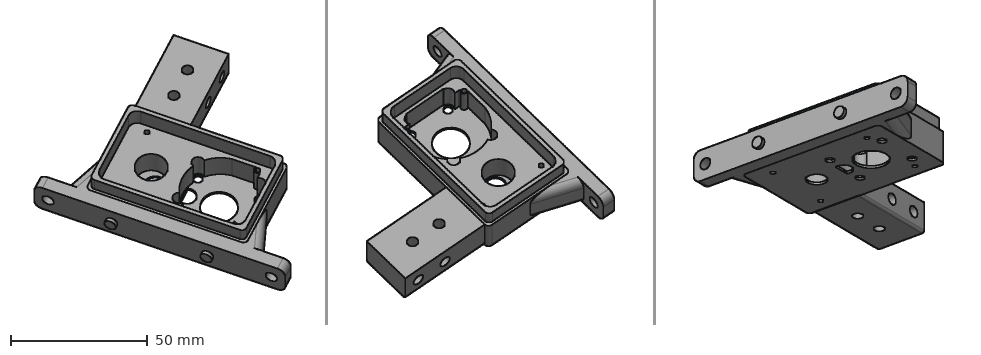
import cadquery as cq


body_height = 12.8
total_height = 18.4
cut_margin = 1.0

flange_length = 99.9
flange_thickness = 5.3
flange_corner_radius = 3.2
flange_hole_diameter = 4.6
flange_hole_spacing = 88.9
boss_diameter = 4.6
boss_spacing = 38.2
boss_length = 1.5
rib_base_width = 77.5
rib_top_y = 25.0

housing_length = 63.7
housing_depth = 39.2
housing_front_y = 5.9
housing_corner_radius = 1.8
housing_center_y = housing_front_y + housing_depth / 2
housing_back_y = housing_front_y + housing_depth
rim_step = 1.1
rim_corner_radius = 1.8
rim_wall = 1.7
cavity_corner_radius = 3.5
cavity_floor_z = 11.1
pocket_floor_z = 1.0

shaft_offset = 12.7
motor_hole_diameter = 13.9
motor_screw_diameter = 3.5
motor_screw_clearance = 4.8
motor_screw_spacing_x = 24.3
motor_screw_spacing_y = 17.7
shaft_hole_diameter = 8.2
bearing_diameter = 12.2
bearing_x = -14.3
middle_hole_diameter = 7.0
middle_hole_flat_x = -1.2
lid_screw_diameter = 2.0
lid_screw_boss_diameter = 2.7
lid_screw_spacing_x = 43.9
lid_screw_spacing_y = 28.2

pocket_half_width = 15.1
pocket_left_x = -1.9
pocket_arc_end_x = 11.3
pocket_right_x = 27.6
pocket_shoulder_x = 23.4
pocket_corner_radius = 2.6

arm_width = 22.0
arm_center_x = -19.1
arm_end_y = 83.1
arm_bottom_z = 0.3
arm_edge_radius = 1.0
arm_vertical_hole_diameter = 4.2
arm_cross_hole_diameter = 4.5
arm_hole_spacing = 12.7
arm_vertical_hole_y = 57.7
arm_cross_hole_y = 64.1


def upright_box(length, depth, bottom_z, top_z, corner_radius):
    """Block on the housing's centre with rounded vertical edges."""
    return (
        cq.Workplane("XY", origin=(0, housing_center_y, bottom_z))
        .rect(length, depth)
        .extrude(top_z - bottom_z)
        .edges("|Z")
        .fillet(corner_radius)
    )


def upright_cylinders(points, diameter, bottom_z, top_z):
    """Vertical cylinders at the given (x, y) points."""
    return (
        cq.Workplane("XY", origin=(0, 0, bottom_z))
        .pushPoints(points)
        .circle(diameter / 2)
        .extrude(top_z - bottom_z)
    )


def corner_points(center_x, spacing_x, spacing_y):
    """Four (x, y) points around a centre on the housing's middle line."""
    return [
        (center_x + side_x * spacing_x / 2, housing_center_y + side_y * spacing_y / 2)
        for side_x in (-1, 1)
        for side_y in (-1, 1)
    ]


def make_housing_blank():
    """Outer shape of the housing: a block and a narrower rim on top."""
    block = upright_box(housing_length, housing_depth, 0, body_height, housing_corner_radius)
    rim = upright_box(
        housing_length - 2 * rim_step,
        housing_depth - 2 * rim_step,
        0,
        total_height,
        rim_corner_radius,
    )
    return block.union(rim)


def make_motor_pocket(motor_screws, lid_screws):
    """Cutter for a round-ended pocket with rounded corners, cleared around the motor screws."""
    arc_end = (pocket_arc_end_x, pocket_half_width)
    shoulder_y = motor_screw_spacing_y / 2
    corner_x = pocket_shoulder_x - pocket_corner_radius
    corner_y = pocket_half_width - pocket_corner_radius
    pocket_height = cavity_floor_z - pocket_floor_z + cut_margin
    outline = (
        cq.Workplane("XY", origin=(0, housing_center_y, pocket_floor_z))
        .moveTo(*arc_end)
        .lineTo(corner_x, pocket_half_width)
        .tangentArcPoint((pocket_shoulder_x, corner_y), relative=False)
        .lineTo(pocket_shoulder_x, shoulder_y)
        .lineTo(pocket_right_x, shoulder_y)
        .lineTo(pocket_right_x, -shoulder_y)
        .lineTo(pocket_shoulder_x, -shoulder_y)
        .lineTo(pocket_shoulder_x, -corner_y)
        .tangentArcPoint((corner_x, -pocket_half_width), relative=False)
        .lineTo(pocket_arc_end_x, -pocket_half_width)
        .threePointArc((pocket_left_x, 0), arc_end)
        .close()
        .extrude(pocket_height)
    )
    pocket_top_z = pocket_floor_z + pocket_height
    clearances = upright_cylinders(motor_screws, motor_screw_clearance, pocket_floor_z, pocket_top_z)
    screw_bosses = upright_cylinders(lid_screws, lid_screw_boss_diameter, pocket_floor_z, pocket_top_z)
    return outline.union(clearances).cut(screw_bosses)


def make_middle_hole():
    """Cutter for a through hole in the pocket floor with a flat on its -X side."""
    hole = upright_cylinders([(0, housing_center_y)], middle_hole_diameter, -cut_margin, cavity_floor_z)
    flat_side = (
        cq.Workplane("XY", origin=(middle_hole_flat_x, housing_center_y, -cut_margin))
        .rect(middle_hole_diameter, middle_hole_diameter)
        .extrude(cavity_floor_z + cut_margin)
        .translate((-middle_hole_diameter / 2, 0, 0))
    )
    return hole.cut(flat_side)


def make_housing():
    """Open gearbox housing with a motor pocket and a bearing seat."""
    motor_screws = corner_points(shaft_offset, motor_screw_spacing_x, motor_screw_spacing_y)
    lid_screws = corner_points(0, lid_screw_spacing_x, lid_screw_spacing_y)
    cavity_inset = 2 * (rim_step + rim_wall)
    cavity = upright_box(
        housing_length - cavity_inset,
        housing_depth - cavity_inset,
        cavity_floor_z,
        total_height + cut_margin,
        cavity_corner_radius,
    )
    bearing_seat = upright_cylinders(
        [(bearing_x, housing_center_y)], bearing_diameter, pocket_floor_z, total_height
    )
    housing = (
        make_housing_blank()
        .cut(cavity)
        .cut(make_motor_pocket(motor_screws, lid_screws))
        .cut(bearing_seat)
        .cut(make_middle_hole())
    )
    through_holes = [
        (motor_hole_diameter, [(shaft_offset, housing_center_y)]),
        (shaft_hole_diameter, [(-shaft_offset, housing_center_y)]),
        (motor_screw_diameter, motor_screws),
        (lid_screw_diameter, lid_screws),
    ]
    for diameter, points in through_holes:
        housing = housing.cut(upright_cylinders(points, diameter, -cut_margin, total_height))
    return housing


def make_flange_plate():
    """Upright mounting plate with rounded ends."""
    return (
        cq.Workplane("XZ", origin=(0, 0, body_height / 2))
        .rect(flange_length, body_height)
        .extrude(-flange_thickness)
        .edges("|Y")
        .fillet(flange_corner_radius)
    )


def make_ribs():
    """Tapered web behind the plate whose slanted sides have rounded edges."""
    half_base = rib_base_width / 2
    half_top = housing_length / 2
    return (
        cq.Workplane("XY")
        .moveTo(-half_base, flange_thickness)
        .lineTo(half_base, flange_thickness)
        .lineTo(half_top, rib_top_y)
        .lineTo(-half_top, rib_top_y)
        .close()
        .extrude(body_height)
        .faces("<X or >X")
        .edges("not(|Z or |X)")
        .fillet(flange_corner_radius)
    )


def make_flange():
    """Plate, ribs and locating bosses, shaped around the housing."""
    bosses = (
        cq.Workplane("XZ", origin=(0, 0, body_height / 2))
        .rarray(boss_spacing, 1, 2, 1)
        .circle(boss_diameter / 2)
        .extrude(boss_length)
    )
    holes = (
        cq.Workplane("XZ", origin=(0, -cut_margin, body_height / 2))
        .rarray(flange_hole_spacing, 1, 2, 1)
        .circle(flange_hole_diameter / 2)
        .extrude(-(flange_thickness + 2 * cut_margin))
    )
    return make_flange_plate().union(make_ribs()).union(bosses).cut(holes).cut(make_housing_blank())


def make_arm():
    """Bar behind the housing, drilled both ways, with rounded lower edges."""
    arm_length = arm_end_y - housing_back_y
    bar = (
        cq.Workplane("XY", origin=(arm_center_x, housing_back_y + arm_length / 2, arm_bottom_z))
        .rect(arm_width, arm_length)
        .extrude(body_height - arm_bottom_z)
        .edges("|Y and <Z")
        .fillet(arm_edge_radius)
    )
    for hole_step in (0, arm_hole_spacing):
        vertical_hole = upright_cylinders(
            [(arm_center_x, arm_vertical_hole_y + hole_step)],
            arm_vertical_hole_diameter,
            -cut_margin,
            total_height,
        )
        cross_hole = (
            cq.Workplane("YZ", origin=(arm_center_x, arm_cross_hole_y + hole_step, body_height / 2))
            .circle(arm_cross_hole_diameter / 2)
            .extrude(arm_width / 2 + cut_margin, both=True)
        )
        bar = bar.cut(vertical_hole).cut(cross_hole)
    return bar


housing = make_housing()
flange = make_flange()
arm = make_arm()

result = cq.Compound.makeCompound([housing.solids().val(), flange.solids().val(), arm.solids().val()])